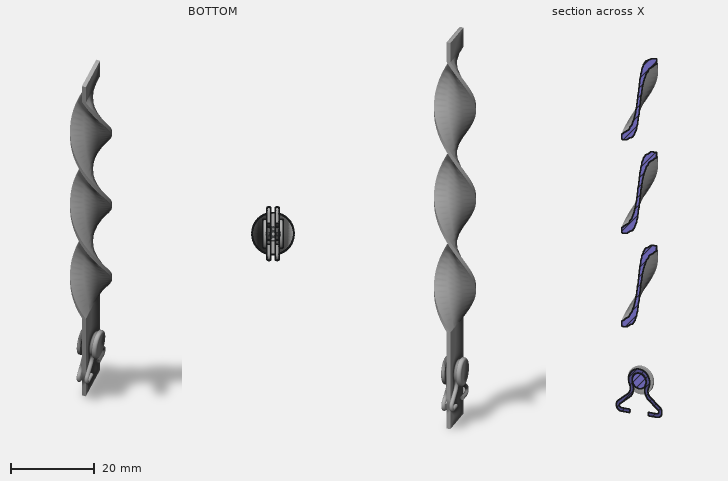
import cadquery as cq
import math

strip_length = 100.0
strip_width = 10.0
strip_thickness = 1.0
twist_start = 25.0
twist_end = 95.0
half_turns = 3
twist_angle = -180.0 * half_turns

stud_height = 13.0
wire_diameter = 1.0
ring_radius = 2.5
post_radius = ring_radius - wire_diameter / 2
head_radius = 3.5
head_thickness = 1.0
head_fillet = 0.5

clip_reach = 5.9
foot_end = 2.5
foot_height = 5.1
loop_radius = 1.0
arm_slope = math.radians(38.0)
bend_radius = 2.4


def make_strip():
    """Flat strip with a twisted middle stretch; its ends lie in the YZ plane."""
    def section(height):
        return cq.Workplane("XY").workplane(offset=height).rect(strip_thickness, strip_width)

    lower_end = section(0).extrude(twist_start)
    twisted = section(twist_start).twistExtrude(twist_end - twist_start, twist_angle)
    upper_end = section(twist_end).extrude(strip_length - twist_end)
    return lower_end.union(twisted).union(upper_end)


def make_stud(side):
    """Post and rounded head standing on the strip face at the given X side (+1 or -1)."""
    post = (
        cq.Workplane("YZ")
        .center(0, stud_height)
        .circle(post_radius)
        .extrude(side * (strip_thickness / 2 + wire_diameter))
    )
    head = (
        cq.Workplane("YZ", origin=(side * (strip_thickness / 2 + wire_diameter), 0, stud_height))
        .circle(head_radius)
        .extrude(side * head_thickness)
        .faces(">X" if side > 0 else "<X")
        .edges()
        .fillet(head_fillet)
    )
    return post.union(head)


def make_clip(side):
    """Omega-shaped round wire: foot, end loop, sloping arm, bend and ring, mirrored about Y = 0."""
    wire_x = side * (strip_thickness + wire_diameter) / 2

    def on_circle(center, radius, angle):
        return center[0] + radius * math.cos(angle), center[1] + radius * math.sin(angle)

    loop_center = (clip_reach - loop_radius, foot_height + loop_radius)
    normal_angle = math.pi / 2 - arm_slope
    arm_outer = on_circle(loop_center, loop_radius, normal_angle)

    offset_point = on_circle(arm_outer, bend_radius, normal_angle)
    along_arm = (-math.cos(arm_slope), math.sin(arm_slope))
    from_stud = (offset_point[0], offset_point[1] - stud_height)
    projection = from_stud[0] * along_arm[0] + from_stud[1] * along_arm[1]
    center_distance = ring_radius + bend_radius
    distance_squared = from_stud[0] ** 2 + from_stud[1] ** 2
    arm_length = -projection - math.sqrt(projection**2 - distance_squared + center_distance**2)
    bend_center = (
        offset_point[0] + arm_length * along_arm[0],
        offset_point[1] + arm_length * along_arm[1],
    )
    arm_inner = on_circle(bend_center, bend_radius, normal_angle + math.pi)
    ring_angle = math.atan2(bend_center[1] - stud_height, bend_center[0])
    ring_end = on_circle((0, stud_height), ring_radius, ring_angle)
    bend_middle_angle = (normal_angle + ring_angle) / 2 + math.pi
    bend_middle = on_circle(bend_center, bend_radius, bend_middle_angle)

    def mirrored(point):
        return -point[0], point[1]

    foot_start = (foot_end, foot_height)
    foot_outer = (loop_center[0], foot_height)
    loop_middle = (clip_reach, loop_center[1])
    path = (
        cq.Workplane("YZ", origin=(wire_x, 0, 0))
        .moveTo(*foot_start)
        .lineTo(*foot_outer)
        .threePointArc(loop_middle, arm_outer)
        .lineTo(*arm_inner)
        .threePointArc(bend_middle, ring_end)
        .threePointArc((0, stud_height + ring_radius), mirrored(ring_end))
        .threePointArc(mirrored(bend_middle), mirrored(arm_inner))
        .lineTo(*mirrored(arm_outer))
        .threePointArc(mirrored(loop_middle), mirrored(foot_outer))
        .lineTo(*mirrored(foot_start))
    )
    return (
        cq.Workplane("XZ", origin=(wire_x, foot_end, foot_height))
        .circle(wire_diameter / 2)
        .sweep(path)
    )


sides = (-1, 1)

studded_strip = make_strip()
for side in sides:
    studded_strip = studded_strip.union(make_stud(side))

clips = [make_clip(side) for side in sides]

result = cq.Compound.makeCompound([studded_strip.val(), *[clip.val() for clip in clips]])